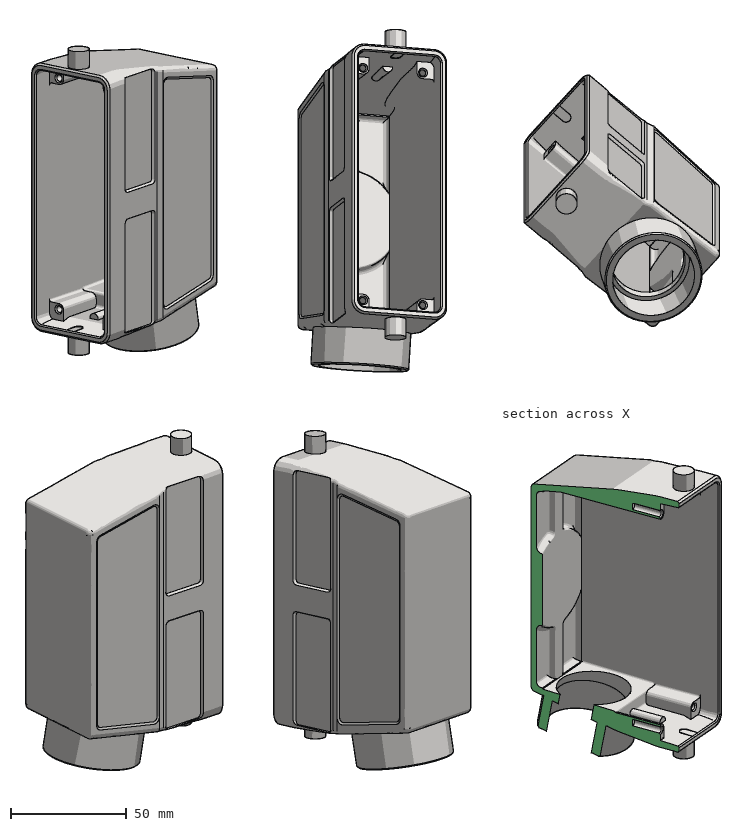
import cadquery as cq
import math


half_height = 60.0
mouth_half_width = 21.5
back_half_width = 22.5
mouth_corner_radius = 5.8
back_corner_radius = 2.4
mouth_depth = 11.3
bend_y = 32.2
bend_half_length = 1.5
shoulder_end = 36.7
shell_depth = 75.8
mouth_slope = 6.1
back_slope = 11.0
back_edge_radius = 2.3
mouth_chamfer = 0.8

front_panel_start = 11.5
front_panel_end = 32.4
front_panel_low = 6.0
front_panel_high = 57.7
front_panel_depth = 1.4
front_panel_wall_angle = 25.0
front_panel_radius = 2.0
back_panel_start = 36.7
back_panel_end = 71.8
back_panel_margin = 4.5
back_panel_depth = 0.5
back_panel_wall_angle = 60.0
back_panel_radius = 2.8

nozzle_radius = 21.2
nozzle_length = 17.7
nozzle_chamfer = 0.5
nozzle_mouth_y = 56.4
nozzle_mouth_z = -69.4
thread_diameter = 35.6
thread_length = 15.5
passage_diameter = 32.0
passage_length = 28.3

opening_half_width = 18.7
opening_half_height = 57.0
opening_radius = 3.1
cavity_depth = 69.7
cavity_draft = 0.7
opening_chamfer = 0.5
ledge_depth = 9.6
ledge_half_height = 56.5
ledge_ramp_depth = 13.3
ledge_ramp_half_height = 55.4
sill_start = 32.5
sill_foot = -55.3
sill_top = -48.5
sill_fillet = 1.4
roof_bend_z = 54.3
back_half_height = 47.3

pocket_depth = 3.1
pocket_half_width = 17.7
pocket_half_height = 46.8
disc_radius = 22.0
strip_half_width = 3.3
pocket_fillet = 2.3
land_corner = 2.4
land_fillet = 0.7

screw_x = 13.5
screw_z = 51.7
boss_radius = 2.7
boss_end = 63.6
boss_root_fillet = 1.1
screw_diameter = 2.8
screw_depth = 14.1
screw_sink_diameter = 4.0
rib_radius = 2.3
rib_axis_z = 55.1
rib_start = 17.1
rib_end = sill_start + 1.4
notch_floor_z = 57.0
notch_half_width = 2.1
notch_length = 8.2

pin_radius = 4.6
pin_y = 6.4
pin_tip = 68.0
pin_seat = 58.5


def outer_half_height(y):
    """Half height of the shell at depth y."""
    mouth_drop = max(0, min(y, bend_y) - mouth_depth) * math.tan(math.radians(mouth_slope))
    back_drop = max(0, y - bend_y) * math.tan(math.radians(back_slope))
    return half_height - mouth_drop - back_drop


def section(y, half_width, corner_radius):
    """Rounded rectangle at depth y behind the mouth plane."""
    sketch = cq.Sketch().rect(2 * half_width, 2 * outer_half_height(y)).vertices().fillet(corner_radius)
    return sketch.moved(cq.Location(cq.Vector(0, 0, -y)))


def along_y(y):
    """Workplane at depth y whose local axes are X and Z, extruding toward -Y."""
    return cq.Workplane("XZ", origin=(0, y, 0))


def make_shell():
    band_end = mouth_depth - bend_half_length
    slope_start = mouth_depth + bend_half_length
    slope_end = bend_y - bend_half_length
    shoulder_start = bend_y + bend_half_length
    sections = [
        section(0, mouth_half_width, mouth_corner_radius),
        section(band_end, mouth_half_width, mouth_corner_radius),
        section(slope_start, mouth_half_width, mouth_corner_radius),
        section(slope_end, mouth_half_width, back_corner_radius),
        section(shoulder_start, mouth_half_width, back_corner_radius),
        section(shoulder_end, back_half_width, back_corner_radius),
        section(shell_depth, back_half_width, back_corner_radius),
    ]
    shell = cq.Workplane("XZ").placeSketch(*sections).loft(ruled=True)
    shell = shell.faces("<Y").chamfer(mouth_chamfer)
    return shell.faces(">Y").edges().fillet(back_edge_radius)


def side_recess(points, half_width, corner_radius, depth, wall_angle):
    """Sloping-walled recess in the -X side; points are (Y, Z) at the surface."""
    plane = cq.Plane(origin=(-half_width, 0, 0), xDir=(0, 1, 0), normal=(1, 0, 0))
    outline = cq.Sketch().polygon(points + points[:1]).vertices().fillet(corner_radius)
    return cq.Workplane(plane).placeSketch(outline).extrude(depth, taper=wall_angle)


def cut_side_panels(shell):
    front = side_recess(
        [
            (front_panel_start, front_panel_low),
            (front_panel_end, front_panel_low),
            (front_panel_end, front_panel_high),
            (front_panel_start, front_panel_high),
        ],
        mouth_half_width, front_panel_radius, front_panel_depth, front_panel_wall_angle,
    )
    start_z = outer_half_height(back_panel_start) - back_panel_margin
    end_z = outer_half_height(back_panel_end) - back_panel_margin
    back = side_recess(
        [
            (back_panel_start, -start_z),
            (back_panel_end, -end_z),
            (back_panel_end, end_z),
            (back_panel_start, start_z),
        ],
        back_half_width, back_panel_radius, back_panel_depth, back_panel_wall_angle,
    )
    for recess in (front, front.mirror("XY"), back):
        shell = shell.cut(recess).cut(recess.mirror("YZ"))
    return shell


def nozzle_plane():
    """Plane of the nozzle mouth, with its normal pointing up into the shell."""
    tilt = math.radians(back_slope)
    return cq.Plane(
        origin=(0, nozzle_mouth_y, nozzle_mouth_z),
        xDir=(1, 0, 0),
        normal=(0, -math.sin(tilt), math.cos(tilt)),
    )


def make_nozzle():
    nozzle = cq.Workplane(nozzle_plane()).circle(nozzle_radius).extrude(nozzle_length)
    return nozzle.faces("<Z").edges().chamfer(nozzle_chamfer)


def make_nozzle_bore():
    thread = cq.Workplane(nozzle_plane()).circle(thread_diameter / 2).extrude(thread_length)
    passage = cq.Workplane(nozzle_plane()).circle(passage_diameter / 2).extrude(passage_length)
    return thread.union(passage)


def make_cavity():
    profile = (
        cq.Workplane("YZ")
        .polyline(
            [
                (0, -opening_half_height),
                (ledge_depth, -ledge_half_height),
                (ledge_ramp_depth, -ledge_ramp_half_height),
                (sill_start, sill_foot),
                (sill_start, sill_top),
                (cavity_depth, -back_half_height),
                (cavity_depth, back_half_height),
                (sill_start, roof_bend_z),
                (ledge_ramp_depth, ledge_ramp_half_height),
                (ledge_depth, ledge_half_height),
                (0, opening_half_height),
            ]
        )
        .close()
        .extrude(opening_half_width, both=True)
    )
    sill_edges = cq.selectors.BoxSelector(
        (-1.4, sill_start - 1.4, sill_foot - 1.4), (1.4, sill_start + 1.4, sill_top + 1.4)
    )
    profile = profile.edges("|X").edges(sill_edges).fillet(sill_fillet)
    plane = cq.Plane(origin=(0, 0, 0), xDir=(1, 0, 0), normal=(0, 1, 0))
    opening = cq.Sketch().rect(2 * opening_half_width, 2 * opening_half_height)
    opening = opening.vertices().fillet(opening_radius)
    drafted = cq.Workplane(plane).placeSketch(opening).extrude(cavity_depth, taper=cavity_draft)
    flare_size = (2 * (opening_half_width + opening_chamfer), 2 * (opening_half_height + opening_chamfer))
    flare = cq.Sketch().rect(*flare_size).vertices().fillet(opening_radius + opening_chamfer)
    flared = cq.Workplane(plane).placeSketch(flare).extrude(opening_chamfer, taper=45)
    return profile.intersect(drafted).union(flared)


def make_land():
    """Raised disc on a full-height strip, with blended corners and a rounded rim."""
    floor = along_y(cavity_depth + pocket_depth)
    disc = floor.circle(disc_radius).extrude(pocket_depth)
    strip = floor.rect(2 * strip_half_width, 4 * pocket_half_height).extrude(pocket_depth)
    inner_corners = cq.selectors.BoxSelector(
        (-disc_radius, 0, -disc_radius), (disc_radius, 2 * cavity_depth, disc_radius)
    )
    land = disc.union(strip).edges("|Y").edges(inner_corners).fillet(land_corner)
    return land.faces("<Y").edges().fillet(land_fillet)


def make_back_pockets():
    """Recess in the back wall, split into four pockets by the land."""
    recess = (
        along_y(cavity_depth + pocket_depth)
        .rect(2 * pocket_half_width, 2 * pocket_half_height)
        .extrude(2 * pocket_depth)
        .cut(make_land())
    )
    return recess.faces(">Y").edges().fillet(pocket_fillet)


def for_corners(body):
    """The body and its mirror images in all four X-Z quarters."""
    pair = [body, body.mirror("YZ")]
    return pair + [item.mirror("XY") for item in pair]


def make_boss():
    """Corner pillar rounded about its screw hole."""
    width = opening_half_width - screw_x + boss_radius
    height = opening_half_height - screw_z + boss_radius
    boss = (
        along_y(boss_end)
        .center(screw_x - boss_radius + width / 2, screw_z - boss_radius + height / 2)
        .rect(width, height)
        .extrude(boss_end - ledge_depth)
    )
    return boss.edges("|Y").edges("<X").edges("<Z").fillet(boss_radius * 0.95)


def round_boss_roots(cavity):
    """Fillet the long corners where the bosses meet the side walls."""
    wall_x = opening_half_width
    root_z = screw_z - boss_radius
    for z in (-root_z, root_z):
        level = cq.selectors.BoxSelector(
            (-wall_x - 1.4, ledge_depth, z - 0.7), (wall_x + 1.4, boss_end, z + 0.7)
        )
        middle = cq.selectors.BoxSelector(
            (1.4 - wall_x, ledge_depth, z - 0.7), (wall_x - 1.4, boss_end, z + 0.7)
        )
        cavity = cavity.edges(level - middle).fillet(boss_root_fillet)
    return cavity


def make_screw_hole():
    hole = along_y(ledge_depth + screw_depth).center(screw_x, screw_z)
    hole = hole.circle(screw_diameter / 2).extrude(screw_depth)
    sink_depth = (screw_sink_diameter - screw_diameter) / 2
    sink = cq.Solid.makeCone(
        screw_sink_diameter / 2, screw_diameter / 2, sink_depth,
        pnt=cq.Vector(screw_x, ledge_depth, screw_z), dir=cq.Vector(0, 1, 0),
    )
    return hole.union(cq.Workplane(sink))


def make_rib():
    """Half-round rib on the top wall of the cavity."""
    return along_y(rib_end).center(0, rib_axis_z).circle(rib_radius).extrude(rib_end - rib_start)


def make_notch():
    """Round-ended notch in the top lip of the cavity."""
    height = notch_floor_z - ledge_ramp_half_height
    plane = cq.Workplane("XY", origin=(0, 0, ledge_ramp_half_height))
    straight = notch_length - notch_half_width
    bar = plane.center(0, straight / 2).rect(2 * notch_half_width, straight).extrude(height)
    end = plane.center(0, straight).circle(notch_half_width).extrude(height)
    return bar.union(end)


def make_pin():
    seat = cq.Workplane("XY", origin=(0, pin_y, pin_seat))
    return seat.circle(pin_radius).extrude(pin_tip - pin_seat)


def make_housing(pins):
    cavity = make_cavity()
    for boss in for_corners(make_boss()):
        cavity = cavity.cut(boss)
    cavity = round_boss_roots(cavity)
    rib = make_rib()
    cavity = cavity.cut(rib).cut(rib.mirror("XY"))
    cavity = cavity.union(make_back_pockets())

    housing = cut_side_panels(make_shell()).union(make_nozzle())
    housing = housing.cut(cavity).cut(make_nozzle_bore())
    for hole in for_corners(make_screw_hole()):
        housing = housing.cut(hole)
    notch = make_notch()
    housing = housing.cut(notch).cut(notch.mirror("XY"))
    for pin in pins:
        housing = housing.cut(pin)
    return housing


upper_pin = make_pin()
pins = [upper_pin, upper_pin.mirror("XY")]
housing = make_housing(pins)

result = cq.Compound.makeCompound([housing.val(), *[pin.val() for pin in pins]])